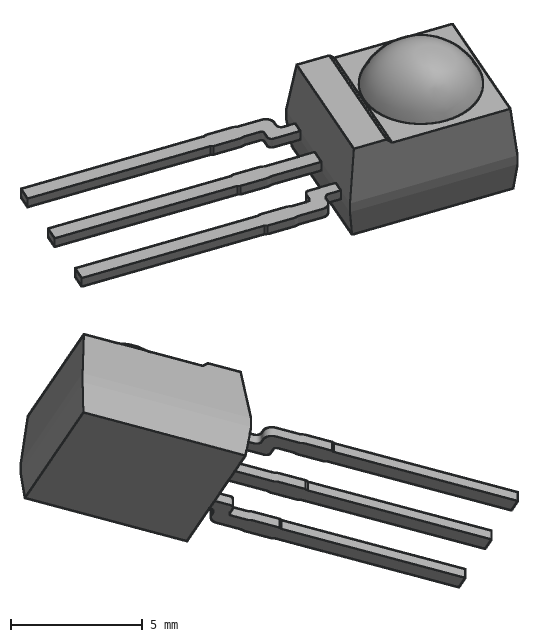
import cadquery as cq

body_width = 6.0
body_length = 6.95
overall_length = 18.0
band_bottom = 1.3
lead_thickness = 0.43
band_top = band_bottom + lead_thickness
deck_height = 3.9
ledge_height = 4.12
overall_height = 5.55
side_slope = 0.13
front_slope = 0.125
back_slope = 0.08

ledge_depth = 1.65
step_foot_depth = 1.87

lens_base_radius = 2.35
lens_center_y = 4.27
lens_height = overall_height - deck_height
lens_radius = (lens_base_radius**2 + lens_height**2) / (2 * lens_height)

lead_length = overall_length - body_length
lead_pitch = 2.54
lead_half_width = 0.315
bulge_half_width = 0.36
bulge_start = 2.07
bulge_full = 2.23
bulge_taper = 3.37
bulge_end = 3.47

root_inner_x = 1.65
root_outer_x = 2.15
jog_near = 0.7
jog_far = 1.3
outer_notch_radius = 0.22
outer_corner_radius = 0.36
inner_corner_radius = 0.18
inner_notch_radius = 0.1


def tapered_section(z_start, z_end):
    """Frustum between two levels; the larger end is the band outline."""
    section = cq.Workplane("XY")
    previous_level = 0
    for level, rise in ((z_start, z_start - band_top), (z_end, z_end - band_top)):
        inset = max(rise, band_bottom - level, 0)
        half_width = body_width / 2 - side_slope * inset
        front = front_slope * inset
        back = body_length - back_slope * inset
        section = section.workplane(offset=level - previous_level).polyline(
            [(-half_width, front), (half_width, front), (half_width, back), (-half_width, back)]
        ).close()
        previous_level = level
    return section.loft(ruled=True)


def make_housing():
    lower = tapered_section(0, band_bottom)
    band = tapered_section(band_bottom, band_top)
    upper = tapered_section(band_top, ledge_height)

    deck_cut = (
        cq.Workplane("YZ")
        .polyline([
            (step_foot_depth, deck_height),
            (body_length, deck_height),
            (body_length, ledge_height),
            (ledge_depth, ledge_height),
        ])
        .close()
        .extrude(body_width / 2, both=True)
    )

    lens = cq.Workplane("XY").sphere(lens_radius).translate(
        (0, lens_center_y, overall_height - lens_radius)
    )
    cap_space = cq.Workplane("XY").box(
        body_width, body_length, lens_height, centered=(True, False, False)
    ).translate((0, 0, deck_height))
    return lower.union(band).union(upper.cut(deck_cut)).union(lens.intersect(cap_space))


def bulge_side(center_x, side):
    """Edge points of the widened stretch, ordered from the housing outward."""
    narrow = center_x + side * lead_half_width
    wide = center_x + side * bulge_half_width
    return [(narrow, -bulge_start), (wide, -bulge_full), (wide, -bulge_taper),
            (narrow, -bulge_end), (narrow, -lead_length)]


def extrude_lead(outline):
    return (
        cq.Workplane("XY")
        .workplane(offset=band_bottom)
        .polyline(outline)
        .close()
        .extrude(lead_thickness)
    )


def make_center_lead():
    left_edge = [(-lead_half_width, 0)] + bulge_side(0, -1)
    right_edge = [(lead_half_width, 0)] + bulge_side(0, 1)
    return extrude_lead(left_edge + right_edge[::-1])


def make_outer_lead(side):
    """Lead that jogs outward from its root; side is -1 for -X and 1 for +X."""
    outer_x = lead_pitch + lead_half_width
    inner_x = lead_pitch - lead_half_width
    outer_edge = [(root_outer_x, 0), (root_outer_x, -jog_near), (outer_x, -jog_near)]
    outer_edge += bulge_side(lead_pitch, 1)
    inner_edge = [(root_inner_x, 0), (root_inner_x, -jog_far), (inner_x, -jog_far)]
    inner_edge += bulge_side(lead_pitch, -1)
    lead = extrude_lead(outer_edge + inner_edge[::-1])

    bends = (
        (root_outer_x, jog_near, outer_notch_radius),
        (outer_x, jog_near, outer_corner_radius),
        (root_inner_x, jog_far, inner_corner_radius),
        (inner_x, jog_far, inner_notch_radius),
    )
    mid_height = band_bottom + lead_thickness / 2
    for x, distance, radius in bends:
        corner = cq.selectors.NearestToPointSelector((x, -distance, mid_height))
        lead = lead.edges("|Z").edges(corner).fillet(radius)
    return lead if side > 0 else lead.mirror("YZ")


housing = make_housing()
center_lead = make_center_lead()
outer_leads = [make_outer_lead(side) for side in (-1, 1)]

result = cq.Compound.makeCompound(
    [housing.val(), center_lead.val(), *[lead.val() for lead in outer_leads]]
)